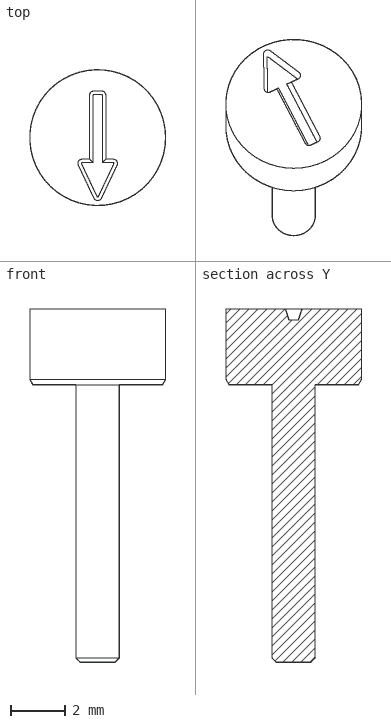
import cadquery as cq
import math

total_height = 13.0
head_diameter = 5.0
head_height = 2.8
head_chamfer_height = 0.2
head_chamfer_width = 0.12
pin_diameter = 1.6
pin_chamfer = 0.15

pocket_depth = 0.4
wall_spread = 0.13
corner_radius = 0.03
shaft_half_width = 0.17
shaft_end_y = 1.59
shoulder_y = -0.92
barb_center_x = 0.57
tip_center_y = -2.16
wall_angle = math.degrees(math.atan(wall_spread / pocket_depth))


def make_pin():
    """Slim round pin with a chamfered free end, standing on Z = 0."""
    pin = cq.Workplane("XY").circle(pin_diameter / 2).extrude(total_height - head_height)
    return pin.faces("<Z").chamfer(pin_chamfer)


def make_head():
    """Round head on top of the pin, with a steep chamfer around its lower edge."""
    head_radius = head_diameter / 2
    underside_z = total_height - head_height
    half_profile = [
        (0, underside_z),
        (head_radius - head_chamfer_width, underside_z),
        (head_radius, underside_z + head_chamfer_height),
        (head_radius, total_height),
        (0, total_height),
    ]
    return cq.Workplane("XZ").polyline(half_profile).close().revolve(360, (0, 0), (0, 1))


def make_arrow_pocket():
    """Arrow pointing to -Y, widening from its floor outline to the top face."""
    core_shaft_x = shaft_half_width - corner_radius
    core_end_y = shaft_end_y - corner_radius
    core_shoulder_y = shoulder_y - corner_radius
    right_half = [
        (core_shaft_x, core_end_y),
        (core_shaft_x, core_shoulder_y),
        (barb_center_x, core_shoulder_y),
    ]
    left_half = [(-x, y) for x, y in reversed(right_half)]
    return (
        cq.Workplane("XY", origin=(0, 0, total_height - pocket_depth))
        .polyline(right_half + [(0, tip_center_y)] + left_half)
        .close()
        .offset2D(corner_radius, "arc")
        .extrude(pocket_depth, taper=-wall_angle)
    )


result = make_pin().union(make_head()).cut(make_arrow_pocket())